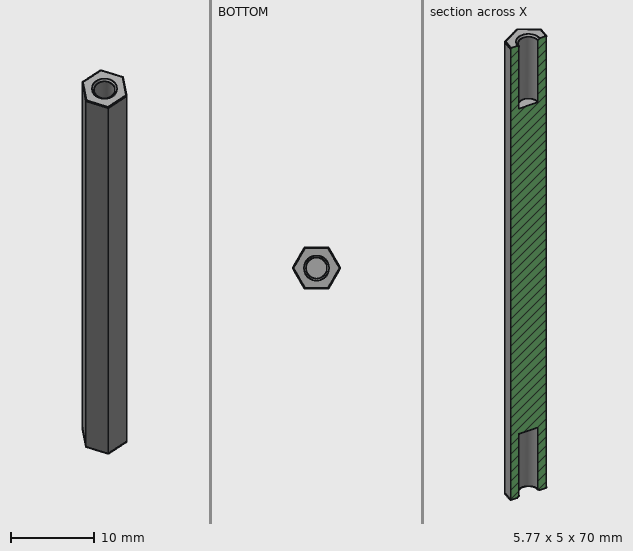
import cadquery as cq
import math

length = 70.0
across_flats = 5.0
across_corners = across_flats / math.cos(math.radians(30))
hole_diameter = 2.5
hole_depth = 9.8
countersink_diameter = 3.0
countersink_angle = 90.0
end_chamfer = 0.1

body = cq.Workplane("XY").polygon(6, across_corners).extrude(length)

body = body.faces("<Z or >Z").edges().chamfer(end_chamfer)


def drill_end(part, face):
    """Drill a countersunk blind hole on the axis of the chosen end face."""
    return (
        part.faces(face)
        .workplane(centerOption="CenterOfBoundBox")
        .cskHole(hole_diameter, countersink_diameter, countersink_angle, hole_depth)
    )


result = body
for end_face in (">Z", "<Z"):
    result = drill_end(result, end_face)